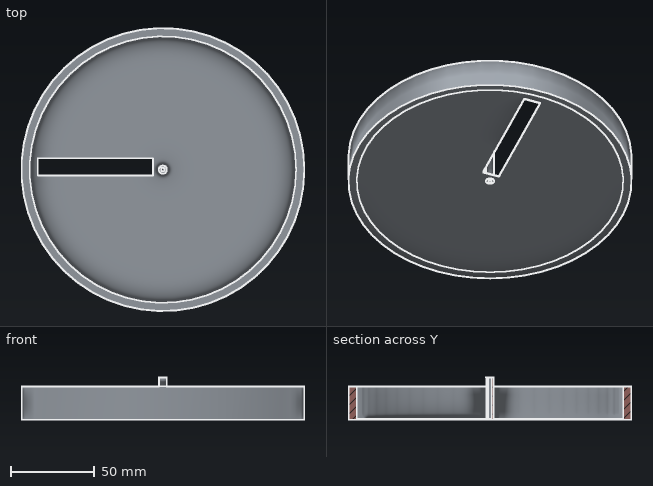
import cadquery as cq

outer_diameter = 170.0
inner_diameter = 160.0
wall_height = 20.0
floor_thickness = 0.5

pin_diameter = 5.0
pin_bore_diameter = 2.2
pin_top = 25.5

slot_left = -75.0
slot_length = 69.0
slot_front = -3.4
slot_width = 10.2


def make_tray():
    """Round tray with a thin floor, its underside on Z = 0."""
    body = cq.Workplane("XY").circle(outer_diameter / 2).extrude(wall_height)
    cavity = (
        cq.Workplane("XY", origin=(0, 0, floor_thickness))
        .circle(inner_diameter / 2)
        .extrude(wall_height - floor_thickness)
    )
    return body.cut(cavity)


def make_pin():
    return cq.Workplane("XY").circle(pin_diameter / 2).extrude(pin_top)


def make_pin_bore():
    """Bore from the pin top down to the floor, which stays closed."""
    return (
        cq.Workplane("XY", origin=(0, 0, floor_thickness))
        .circle(pin_bore_diameter / 2)
        .extrude(pin_top - floor_thickness)
    )


def make_slot():
    return (
        cq.Workplane("XY", origin=(slot_left, slot_front, 0))
        .rect(slot_length, slot_width, centered=False)
        .extrude(floor_thickness)
    )


result = make_tray().union(make_pin()).cut(make_pin_bore()).cut(make_slot())